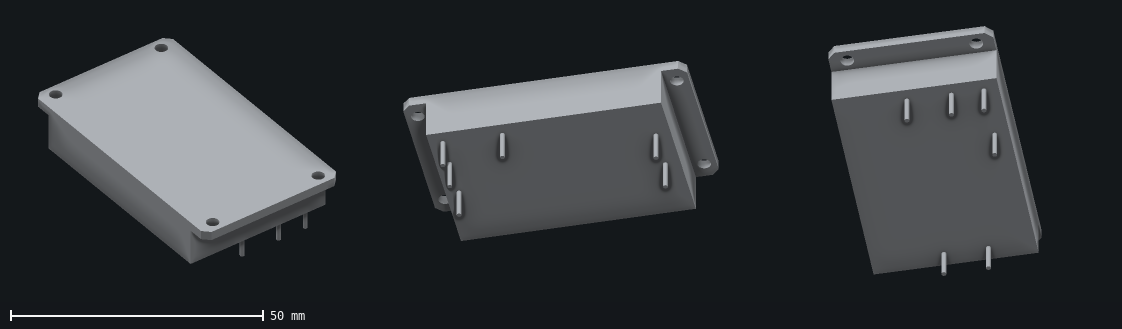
import cadquery as cq

length = 57.5
width = 33.25
total_height = 16.2
plate_thickness = 2.0
corner_chamfer = 1.5
block_length = 47.6
pin_length = 6.0

hole_diameter = 2.7
hole_spacing_x = 52.5
hole_spacing_y = 26.0

pin_diameter = 1.0
input_pin_x = -20.75
control_pin_x = 8.95
output_pin_x = 21.05
outer_pin_y = 13.6
middle_pin_y = 7.1
inner_pin_y = -1.9
pin_positions = [
    (input_pin_x, middle_pin_y),
    (input_pin_x, inner_pin_y),
    (control_pin_x, outer_pin_y),
    (output_pin_x, outer_pin_y),
    (output_pin_x, middle_pin_y),
    (output_pin_x, inner_pin_y),
]

block_height = total_height - pin_length - plate_thickness


def make_housing():
    """Block and chamfered, drilled top plate as one solid."""
    block = cq.Workplane("XY").box(block_length, width, block_height, centered=(True, True, False))
    plate = (
        cq.Workplane("XY")
        .workplane(offset=block_height)
        .box(length, width, plate_thickness, centered=(True, True, False))
        .edges("|Z")
        .chamfer(corner_chamfer)
        .faces(">Z")
        .workplane()
        .rect(hole_spacing_x, hole_spacing_y, forConstruction=True)
        .vertices()
        .hole(hole_diameter)
    )
    return block.union(plate)


def make_pin(x, y):
    """Straight round pin hanging from the underside of the block."""
    return cq.Workplane("XY").center(x, y).circle(pin_diameter / 2).extrude(-pin_length)


housing = make_housing()
pins = [make_pin(x, y) for x, y in pin_positions]

result = cq.Compound.makeCompound([housing.val(), *[pin.val() for pin in pins]])